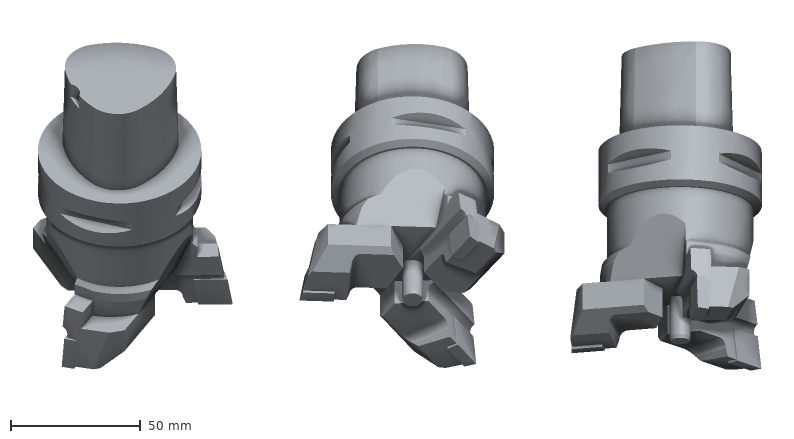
import cadquery as cq
import math


EXTRA = 5.0
REACH = 60.0

tooth_angles = [180.0, 65.0, -55.0]

total_height = 116.0
flange_top = 78.0
polygon_radius = 22.0
polygon_lobe = 1.7
lobe_center = 9.5
shank_taper = 1.0 / 40.0
notch_width = 7.8
notch_depth = 1.7
notch_height = 6.4

flange_radius = 63.0 / 2
flange_bottom = 56.0
flange_chamfer_height = 2.0
flange_chamfer_radius = 29.2
neck_radius = 56.5 / 2
neck_bottom = 32.7
collar_top = 30.8
collar_top_radius = 30.3
collar_middle = 27.3
collar_middle_radius = 30.9
collar_bottom_radius = 30.5

groove_angles = [45.0, 135.0, 225.0, 315.0]
groove_height = 66.05
groove_floor_distance = 27.9
groove_floor_width = 3.4
groove_flank_angle = 30.0

rake_y = -3.3
lower_rake_y = -1.0
rake_step_bottom = 13.7
rake_step_radius = 2.9
block_top = 25.9
block_back_y = 4.6
back_y = 20.65
back_top = 20.2
back_bottom = 9.6
ledge_slope = 0.11
bottom_front = 0.6
bottom_back_y = 13.1
bottom_back = back_bottom - (back_y - bottom_back_y)
core_bottom = 17.9

inner_nose = (4.25, 10.9)
inner_back_x = 9.2
inner_rake_angle = 25.0
tooth_top_x = 38.0
flank_angle = 9.5
relief_start_y = 3.2
relief_angle = 8.5
corner_back_x = 33.6
corner_front = (41.3, 10.4)
arch_height = 7.3
arch_radius = 3.4
arch_wall_top_x = 24.3
arch_wall_bottom_x = 25.5
seat_flat_x = 30.0

gullet_angle = 18.1

insert_height = 12.7
insert_width = 13.3
insert_tip_x = 43.6
insert_lean = 8.7
insert_front_y = -1.5
insert_back_y = relief_start_y
insert_relief = 14.0
screw_diameter = 8.01

nozzle_diameter = 8.01
nozzle_bottom = 0.9
nozzle_chamfer_height = 1.5
nozzle_chamfer_width = 0.3


def tan(angle):
    return math.tan(math.radians(angle))


def turn(shape, angle):
    return shape.rotate((0, 0, 0), (0, 0, 1), angle)


def along_x(outline, start, end):
    """Prism of a closed (Y, Z) outline from X = start to X = end."""
    return cq.Workplane("YZ").workplane(offset=start).polyline(outline).close().extrude(end - start)


def along_y(outline, start, end):
    """Prism of a closed (X, Z) outline from Y = start to Y = end."""
    return cq.Workplane("XZ").workplane(offset=-end).polyline(outline).close().extrude(end - start)


def ledge_z(y):
    return back_top - ledge_slope * (back_y - y)



def polar(distance, angle):
    return (distance * math.cos(math.radians(angle)), distance * math.sin(math.radians(angle)))


def polygon_wire(height, radius):
    """Three lobes, one of them at +Y, joined by flatter arcs tangent to them."""
    flat_center = (
        4 * polygon_lobe * (lobe_center - polygon_lobe) / (lobe_center - 4 * polygon_lobe)
    )
    flat_radius = radius - polygon_lobe + flat_center
    center_x, center_y = polar(-flat_center, 30)
    lean = math.atan2(lobe_center - center_y, -center_x)
    joint_x = center_x + flat_radius * math.cos(lean)
    joint_y = center_y + flat_radius * math.sin(lean)
    joint_radius = math.hypot(joint_x, joint_y)
    joint_offset = math.degrees(math.atan2(joint_x, joint_y))

    wire = cq.Workplane("XY", origin=(0, 0, height)).moveTo(joint_x, joint_y)
    for lobe_angle in (90, 210, 330):
        wire = wire.threePointArc(
            polar(radius + polygon_lobe, lobe_angle),
            polar(joint_radius, lobe_angle + joint_offset),
        ).threePointArc(
            polar(radius - polygon_lobe, lobe_angle + 60),
            polar(joint_radius, lobe_angle + 120 - joint_offset),
        )
    return wire.wire().val()


def make_shank():
    top_radius = polygon_radius - shank_taper * (total_height - flange_top)
    wires = [polygon_wire(flange_top, polygon_radius), polygon_wire(total_height, top_radius)]
    shank = cq.Workplane(obj=cq.Solid.makeLoft(wires, True))
    notch_radius = ((notch_width / 2) ** 2 + notch_depth ** 2) / (2 * notch_depth)
    flat_y = polygon_lobe - top_radius
    notch = (
        cq.Workplane("XY", origin=(0, 0, total_height - notch_height))
        .center(0, flat_y + notch_depth - notch_radius)
        .circle(notch_radius)
        .extrude(notch_height + EXTRA)
    )
    return shank.cut(notch)



def make_core():
    profile = [
        (0, core_bottom),
        (collar_bottom_radius, core_bottom),
        (collar_middle_radius, collar_middle),
        (collar_top_radius, collar_top),
        (neck_radius, neck_bottom),
        (neck_radius, flange_bottom - flange_chamfer_height),
        (flange_chamfer_radius, flange_bottom - flange_chamfer_height),
        (flange_radius, flange_bottom),
        (flange_radius, flange_top),
        (0, flange_top),
    ]
    return cq.Workplane("XZ").polyline(profile).close().revolve(360, (0, 0), (0, 1))


def gripper_groove():
    depth = flange_radius + EXTRA - groove_floor_distance
    floor_half = groove_floor_width / 2
    mouth_half = floor_half + depth * tan(groove_flank_angle)
    outline = [
        (groove_floor_distance, groove_height - floor_half),
        (groove_floor_distance + depth, groove_height - mouth_half),
        (groove_floor_distance + depth, groove_height + mouth_half),
        (groove_floor_distance, groove_height + floor_half),
    ]
    return along_y(outline, -REACH, REACH)


def ahead_of_rake():
    """Everything on the open side of a tooth's rake plane."""
    return cq.Workplane("XY").box(2 * REACH, REACH, total_height, centered=(True, False, False)).translate(
        (0, rake_y - REACH, 0)
    )


def gullet():
    """Slanted flat behind a tooth, leaning outwards as it rises."""
    rise = neck_bottom
    outline = [
        (back_y, 0),
        (back_y, back_top),
        (back_y + rise * tan(gullet_angle), back_top + rise),
        (REACH, back_top + rise),
        (REACH, 0),
    ]
    return along_x(outline, -REACH, REACH)


def underside_wedge():
    """Sloping underside of the core level with the ledge of a tooth."""
    low_y = back_y - (back_top - core_bottom) / ledge_slope
    outline = [
        (low_y, core_bottom),
        (back_y, back_top),
        (back_y, core_bottom - EXTRA),
        (low_y, core_bottom - EXTRA),
    ]
    return along_x(outline, -REACH, REACH)


def seat_flat():
    """Flat on the collar behind the top of a tooth."""
    return (
        cq.Workplane("XY", origin=(seat_flat_x, rake_y, core_bottom))
        .box(EXTRA, back_y, neck_bottom - core_bottom, centered=False)
    )



def tooth_blank():
    arc_y = lower_rake_y - rake_step_radius
    step_angle = math.acos((rake_y - arc_y) / rake_step_radius)

    def step_point(angle):
        return (
            arc_y + rake_step_radius * math.cos(angle),
            rake_step_bottom + rake_step_radius * math.sin(angle),
        )

    return (
        cq.Workplane("YZ")
        .moveTo(back_y, back_top)
        .lineTo(block_back_y, ledge_z(block_back_y))
        .lineTo(block_back_y, block_top)
        .lineTo(rake_y, block_top)
        .lineTo(*step_point(step_angle))
        .threePointArc(step_point(step_angle / 2), step_point(0))
        .lineTo(lower_rake_y, bottom_front)
        .lineTo(bottom_back_y, bottom_back)
        .lineTo(back_y, back_bottom)
        .close()
        .extrude(REACH)
    )


def inside_nose():
    """Material towards the axis from the inner end of a tooth."""
    nose_x, nose_y = inner_nose
    back_slope = (inner_back_x - nose_x) / (back_y - nose_y)
    outline = [
        (-EXTRA, rake_y - EXTRA),
        (nose_x + (nose_y - rake_y + EXTRA) * tan(inner_rake_angle), rake_y - EXTRA),
        inner_nose,
        (inner_back_x + EXTRA * back_slope, back_y + EXTRA),
        (-EXTRA, back_y + EXTRA),
    ]
    return cq.Workplane("XY").polyline(outline).close().extrude(total_height)


def outside_flank():
    """Material outside the leaning outer face of a tooth."""
    outline = [
        (tooth_top_x - EXTRA * tan(flank_angle), block_top + EXTRA),
        (tooth_top_x + (block_top + EXTRA) * tan(flank_angle), -EXTRA),
        (2 * REACH, -EXTRA),
        (2 * REACH, block_top + EXTRA),
    ]
    return along_y(outline, -REACH, REACH)


def outside_corner():
    """Material outside the vertical face that cuts off the back corner."""
    front_x, front_y = corner_front
    slope = (front_x - corner_back_x) / (back_y - front_y)
    outline = [
        (corner_back_x - EXTRA * slope, back_y + EXTRA),
        (corner_back_x + back_y * slope, 0),
        (2 * REACH, 0),
        (2 * REACH, back_y + EXTRA),
    ]
    return cq.Workplane("XY").polyline(outline).close().extrude(total_height)


def arch():
    """Rounded arch under the inner half of a tooth."""
    wall_slope = (arch_wall_bottom_x - arch_wall_top_x) / (arch_height - arch_radius - bottom_front)
    bend = arch_radius * (1 - math.sqrt(0.5))
    return (
        cq.Workplane("XZ")
        .workplane(offset=-REACH)
        .moveTo(0, -EXTRA)
        .lineTo(arch_wall_bottom_x + (EXTRA + bottom_front) * wall_slope, -EXTRA)
        .lineTo(arch_wall_top_x, arch_height - arch_radius)
        .threePointArc(
            (arch_wall_top_x - bend, arch_height - bend),
            (arch_wall_top_x - arch_radius, arch_height),
        )
        .lineTo(0, arch_height)
        .close()
        .extrude(2 * REACH)
    )


def make_tooth():
    relieved_flank = outside_flank().rotate(
        (tooth_top_x, relief_start_y, 0), (tooth_top_x, relief_start_y, 1), relief_angle
    )
    tooth = tooth_blank().cut(inside_nose()).cut(outside_flank()).cut(relieved_flank)
    return tooth.cut(outside_corner()).cut(arch())



insert_shift = insert_height * tan(insert_lean)
screw_x = insert_tip_x - (insert_width + insert_shift) / 2


def insert_blank():
    outline = [
        (insert_tip_x, 0),
        (insert_tip_x - insert_shift, insert_height),
        (insert_tip_x - insert_shift - insert_width, insert_height),
        (insert_tip_x - insert_width, 0),
    ]
    relief = [
        (insert_tip_x, 0),
        (insert_tip_x - insert_shift, insert_height),
        (insert_tip_x + EXTRA, insert_height),
        (insert_tip_x + EXTRA, 0),
    ]
    blank = along_y(outline, insert_front_y, insert_back_y)
    cutter = along_y(relief, insert_front_y, insert_back_y + EXTRA).rotate(
        (insert_tip_x, insert_front_y, 0), (insert_tip_x, insert_front_y, 1), insert_relief
    )
    return blank.cut(cutter)


def make_screw():
    return (
        cq.Workplane("XZ", origin=(screw_x, insert_back_y, insert_height / 2))
        .circle(screw_diameter / 2)
        .extrude(insert_back_y - insert_front_y)
    )



def make_nozzle():
    radius = nozzle_diameter / 2
    profile = [
        (0, nozzle_bottom),
        (radius - nozzle_chamfer_width, nozzle_bottom),
        (radius, nozzle_bottom + nozzle_chamfer_height),
        (radius, back_top),
        (0, back_top),
    ]
    return cq.Workplane("XZ").polyline(profile).close().revolve(360, (0, 0), (0, 1))



core = make_core()
for angle in groove_angles:
    core = core.cut(turn(gripper_groove(), angle))
for index, angle in enumerate(tooth_angles):
    following_angle = tooth_angles[index - 1]
    opening = turn(ahead_of_rake(), following_angle)
    core = core.cut(turn(gullet(), angle).intersect(opening))
    core = core.cut(turn(underside_wedge(), angle).intersect(opening))
    core = core.cut(turn(seat_flat(), angle))

holder = core.union(make_shank()).union(make_nozzle())
for angle in tooth_angles:
    holder = holder.union(turn(make_tooth().cut(insert_blank()), angle))

inserts = [turn(insert_blank().cut(make_screw()), angle) for angle in tooth_angles]
screws = [turn(make_screw(), angle) for angle in tooth_angles]

result = cq.Compound.makeCompound([
    holder.val(),
    *[insert.val() for insert in inserts],
    *[screw.val() for screw in screws],
])